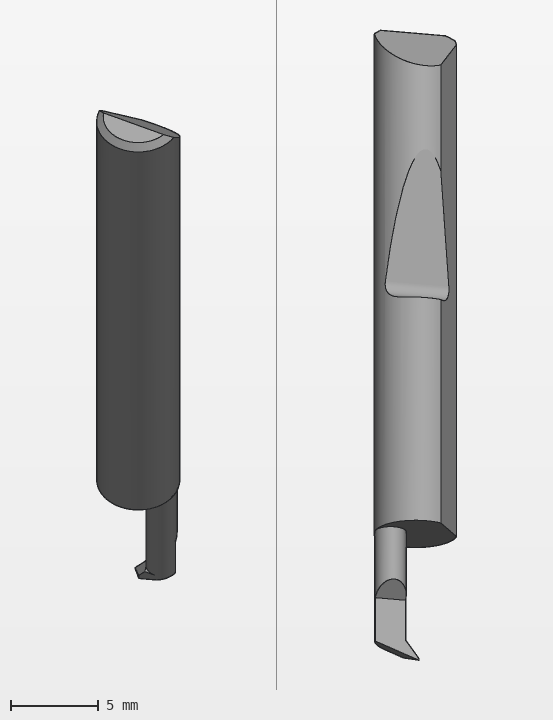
import cadquery as cq
import math

shank_diameter = 4.76
shank_radius = shank_diameter / 2
overall_length = 38.1
neck_length = 7.62
shank_length = overall_length - neck_length
end_chamfer = 0.38

flat_distance = 2.02
flat_angle = 144.5

bevel_angle = 45.0
bevel_edge_y = -0.6

notch_slope = 9.0
notch_start_from_top = 8.05
notch_bottom_from_top = 17.0
notch_corner_radius = 1.0

neck_radius = 0.9
neck_center_x = shank_radius - neck_radius
half_neck_start_z = -4.06
half_neck_run_out_angle = 45.0

tip_x = -0.2
tip_top_z = -6.47
tip_front_direction = 20.0
tip_back_direction = 233.0
tip_front_relief = 8.0
tip_back_relief = 14.0
nose_direction = 270.0
nose_relief = 37.0

clearance = 1.0


def cut_prism_along_x(outline):
    """Prism wider than the shank, from an outline of (y, z) points."""
    half_width = shank_radius + clearance
    return cq.Workplane("YZ").polyline(outline).close().extrude(half_width, both=True)


def make_shank():
    return (
        cq.Workplane("XY")
        .circle(shank_radius)
        .extrude(shank_length)
        .faces(">Z")
        .chamfer(end_chamfer)
    )


def make_flat_cutter():
    return (
        cq.Workplane("XY")
        .box(shank_radius, 2 * shank_diameter, shank_length, centered=(False, True, False))
        .translate((flat_distance, 0, 0))
        .rotate((0, 0, 0), (0, 0, 1), flat_angle)
    )


def make_bevel_cutter():
    outer_y = shank_radius + clearance
    drop = (outer_y - bevel_edge_y) * math.tan(math.radians(bevel_angle))
    return cut_prism_along_x([
        (bevel_edge_y, shank_length),
        (outer_y, shank_length),
        (outer_y, shank_length - drop),
    ])


def make_notch_cutter():
    """Right-angled notch, tilted by the slope, with a rounded inner corner."""
    slope = math.radians(notch_slope)
    opening = notch_bottom_from_top - notch_start_from_top
    floor_length = opening * math.cos(slope)
    wall_length = opening * math.sin(slope)
    start_z = shank_length - notch_start_from_top
    return (
        cq.Workplane("XY")
        .box(shank_diameter + clearance, wall_length + clearance, floor_length + clearance,
             centered=(True, False, False))
        .edges("<Y and <Z")
        .fillet(notch_corner_radius)
        .translate((0, 0, -floor_length))
        .rotate((0, 0, 0), (1, 0, 0), -notch_slope)
        .translate((0, shank_radius, start_z))
    )


def make_neck(length):
    neck = cq.Workplane("XY").center(neck_center_x, 0).circle(neck_radius).extrude(-length)
    run_out_y = neck_radius + clearance
    rise = run_out_y * math.tan(math.radians(half_neck_run_out_angle))
    back_half = cut_prism_along_x([
        (0, half_neck_start_z),
        (run_out_y, half_neck_start_z + rise),
        (run_out_y, -neck_length),
        (0, -neck_length),
    ])
    return neck.cut(back_half)


def make_relief_cutter(edge_point, edge_direction, relief_angle):
    """Block removing what lies below a cutting edge, leaning in away from the cutting face.

    The edge passes through an (x, z) point on Y = 0, along a direction measured from +X
    towards +Z, with the part on its left.
    """
    size = 2 * neck_length
    edge_x, edge_z = edge_point
    return (
        cq.Workplane("XY")
        .box(size, size, size, centered=(True, True, False))
        .translate((0, 0, -size))
        .rotate((0, 0, 0), (1, 0, 0), -relief_angle)
        .rotate((0, 0, 0), (0, 1, 0), -edge_direction)
        .translate((edge_x, 0, edge_z))
    )


def make_tip():
    """End of the neck with a side plate, ground back behind its three cutting edges."""
    tip_height = neck_length + tip_top_z
    end_zone = (
        cq.Workplane("XY")
        .box(2 * shank_diameter, shank_diameter, tip_height, centered=(True, True, False))
        .translate((0, 0, -neck_length))
    )
    plate = (
        cq.Workplane("XY")
        .box(neck_center_x - tip_x, neck_radius, tip_height, centered=False)
        .translate((tip_x, -neck_radius, -neck_length))
    )
    cutting_point = (tip_x, -neck_length)
    neck_corner = (neck_center_x - neck_radius, tip_top_z)
    return (
        make_neck(neck_length)
        .intersect(end_zone)
        .union(plate)
        .cut(make_relief_cutter(cutting_point, tip_front_direction, tip_front_relief))
        .cut(make_relief_cutter(neck_corner, tip_back_direction, tip_back_relief))
        .cut(make_relief_cutter(cutting_point, nose_direction, nose_relief))
    )


result = make_shank().cut(make_flat_cutter()).cut(make_bevel_cutter()).cut(make_notch_cutter())
result = result.union(make_neck(-tip_top_z)).union(make_tip())